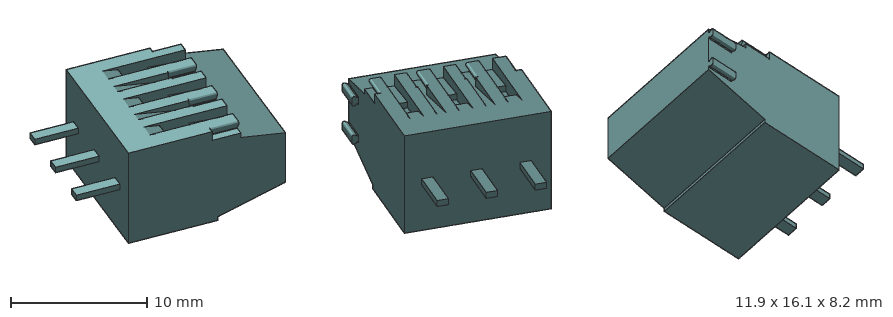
import cadquery as cq
import math


total_length = 16.1
body_width = 11.43
body_length = 12.6
body_height = 8.2
top_nose_length = 3.59
top_step = 1.19
top_nose_drop = 1.8
bottom_nose_length = 5.43
bottom_step = 0.34
bottom_nose_rise = 1.9

pole_count = 3
pole_pitch = 3.82
first_pole_x = 1.79

pin_width = 0.89
pin_thickness = 0.5
pin_length = total_length - body_length

slot_width = 1.06
slot_start_y = 2.37
ledge_length = 1.24
pit_length = 2.37
pit_depth = top_step
ramp_start_depth = 0.71
ramp_end_depth = 0.93

groove_length = 2.29
groove_depth = 0.79
groove_half_opening = 0.52
groove_lip_radius = 0.16
groove_base_wall = 0.06
runout_width = 0.7

rail_length = 2.2
rail_projection = 0.5
rail_half_face = 0.24
rail_edge_radius = 0.153
rail_half_neck = 0.25
rail_half_root = 0.32
rail_spacing = 3.22

flank_angle = math.radians(30)

step_y = body_length - top_nose_length
mid_z = body_height / 2
pole_xs = [first_pole_x + i * pole_pitch for i in range(pole_count)]
inner_boundary_xs = [(left + right) / 2 for left, right in zip(pole_xs, pole_xs[1:])]
groove_start_y = step_y - groove_length
runout_slope = groove_depth / (groove_start_y - slot_start_y)


def extrude_along_x(points, center_x, width):
    """Extrude a (y, z) outline by width, centered on center_x."""
    plane = cq.Plane(origin=(center_x - width / 2, 0, 0), xDir=(0, 1, 0), normal=(1, 0, 0))
    return cq.Workplane(plane).polyline(points).close().extrude(width)


def y_section(start_y, origin_x=0.0, origin_z=0.0):
    """Workplane across Y with local axes X and Z; a negative extrusion runs towards +Y."""
    return cq.Workplane("XZ", origin=(origin_x, start_y, origin_z))


def housing():
    outline = [
        (0, 0),
        (body_length - bottom_nose_length, 0),
        (body_length - bottom_nose_length, bottom_step),
        (body_length, bottom_nose_rise),
        (body_length, body_height - top_nose_drop),
        (step_y, body_height - top_step),
        (step_y, body_height),
        (0, body_height),
    ]
    return extrude_along_x(outline, body_width / 2, body_width)


def pin(center_x):
    return (
        y_section(0, center_x, mid_z)
        .rect(pin_width, pin_thickness)
        .extrude(pin_length)
    )


def wide_slot(center_x):
    """Sloping ledge, flat pit and shallow ramp, open at the top and at the step."""
    pit_start_y = slot_start_y + ledge_length
    pit_end_y = pit_start_y + pit_length
    outline = [
        (slot_start_y, body_height),
        (pit_start_y, body_height - ledge_length * runout_slope),
        (pit_start_y, body_height - pit_depth),
        (pit_end_y, body_height - pit_depth),
        (pit_end_y, body_height - ramp_start_depth),
        (step_y, body_height - ramp_end_depth),
        (step_y, body_height),
    ]
    return extrude_along_x(outline, center_x, slot_width)


def runout(center_x):
    """Wedge that rises from the groove floor to the top face."""
    outline = [
        (slot_start_y, body_height),
        (groove_start_y, body_height - groove_depth),
        (groove_start_y, body_height),
    ]
    return extrude_along_x(outline, center_x, runout_width)


def label_groove(center_x):
    """Undercut groove whose upper lips are rounded."""
    lip_x = groove_half_opening
    lip_z = -groove_lip_radius
    throat_x = lip_x - groove_lip_radius
    flank_x = lip_x - groove_lip_radius * math.cos(flank_angle)
    flank_z = lip_z - groove_lip_radius * math.sin(flank_angle)
    flank_end_z = groove_base_wall - groove_depth
    base_x = flank_x + (flank_z - flank_end_z) * math.tan(flank_angle)
    return (
        y_section(groove_start_y, center_x, body_height)
        .moveTo(-lip_x, 0)
        .threePointArc((-throat_x, lip_z), (-flank_x, flank_z))
        .lineTo(-base_x, flank_end_z)
        .lineTo(-base_x, -groove_depth)
        .lineTo(base_x, -groove_depth)
        .lineTo(base_x, flank_end_z)
        .lineTo(flank_x, flank_z)
        .threePointArc((throat_x, lip_z), (lip_x, 0))
        .close()
        .extrude(-groove_length)
    )


def coupling_rail(center_z):
    """Rail with a rounded head, a narrow neck and a flared root, flush with the nose end."""
    edge_x = rail_edge_radius - rail_projection
    crest_z = rail_half_face + rail_edge_radius
    flank_x = edge_x + rail_edge_radius * math.sin(flank_angle)
    flank_z = rail_half_face + rail_edge_radius * math.cos(flank_angle)
    neck_x = flank_x + (flank_z - rail_half_neck) / math.tan(flank_angle)
    return (
        y_section(body_length - rail_length, 0, center_z)
        .moveTo(-rail_projection, -rail_half_face)
        .lineTo(-rail_projection, rail_half_face)
        .threePointArc((edge_x, crest_z), (flank_x, flank_z))
        .lineTo(neck_x, rail_half_neck)
        .lineTo(0, rail_half_root)
        .lineTo(0, -rail_half_root)
        .lineTo(neck_x, -rail_half_neck)
        .lineTo(flank_x, -flank_z)
        .threePointArc((edge_x, -crest_z), (-rail_projection, -rail_half_face))
        .close()
        .extrude(-rail_length)
    )


result = housing()

for pole_x in pole_xs:
    result = result.cut(wide_slot(pole_x)).union(pin(pole_x))

for boundary_x in inner_boundary_xs:
    result = result.cut(runout(boundary_x))

for boundary_x in [0, *inner_boundary_xs, body_width]:
    result = result.cut(label_groove(boundary_x))

for side in (-1, 1):
    result = result.union(coupling_rail(mid_z + side * rail_spacing / 2))